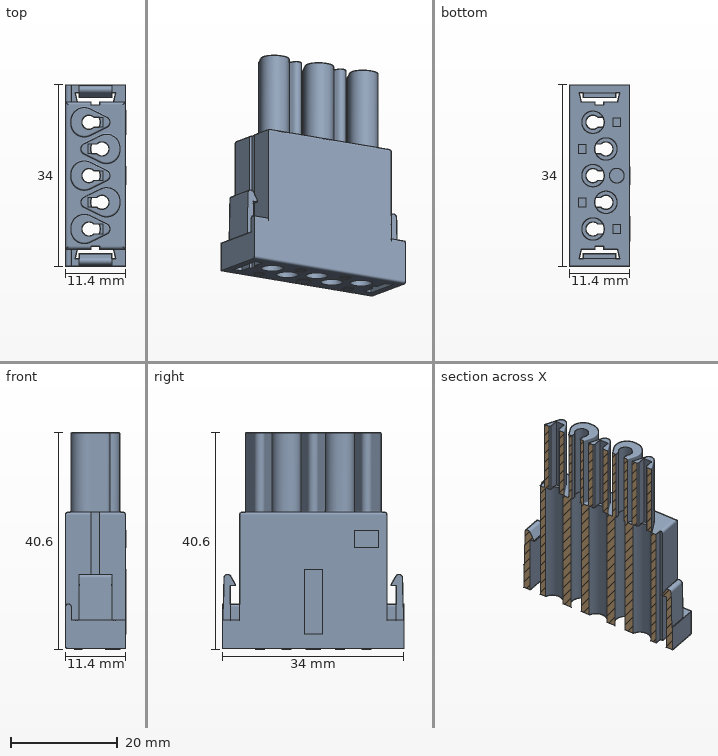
import cadquery as cq
import math

TOTAL_HEIGHT = 40.6
MARK_RELIEF = 0.2
WIDTH = 11.3
BASE_LENGTH = 34.0
BODY_LENGTH = 27.6
TOP_Z = TOTAL_HEIGHT - MARK_RELIEF
BODY_TOP_Z = 25.55
LEDGE_Z = 5.3
BODY_ROUND = 0.55
BASE_ROUND = 0.45

RAIL_WIDTH = 1.15
RAIL_TOP_Z = 8.32

LATCH_WIDTH = 6.15
LATCH_INNER_Y = 15.5
LATCH_ROOT_Y = 16.9
LATCH_TIP_RADIUS = 0.7
LATCH_TIP_Y = 16.05
LATCH_TIP_Z = 13.2
HOOK_REACH_Y = 14.58
HOOK_UNDERSIDE_Z = 11.77
HOOK_LIP = 0.25
OPENING_OUTER_WIDTH = 7.55
OPENING_INNER_WIDTH = 6.75
GROOVE_WIDTH = 1.6
GROOVE_DEPTH = 0.55

SOCKET_COUNT = 5
PITCH = 5.0
LOBE_X = -2.07
LOBE_RADIUS = 2.5
LOBE_FLAT = 0.45
TIP_RADIUS = 1.05
TIP_X = 1.65
SOCKET_TOP_ROUND = 0.25
SOCKET_FOOT_ROUND = 0.25
FIRST_SOCKET_WITH_FOOT = 2

KEYHOLE_X = -1.2
KEYHOLE_DIAMETER = 2.6
KEYWAY_WIDTH = 1.8
KEYWAY_END_X = 1.4
BORE_DIAMETER = 4.2

MARK_X = 3.25
MARK_WIDTH = 1.42
MARK_LENGTH = 1.65
MIDDLE_MARK_DIAMETER = 2.75
SIDE_MARK_RELIEF = 0.12
UPPER_SIDE_MARK = (7.67, 12.22, 18.88, 22.1)
LOWER_SIDE_MARK = (-1.62, 1.7, 2.7, 14.8)


def block(x_range, y_range, z_range):
    sizes = [high - low for low, high in (x_range, y_range, z_range)]
    corner = (x_range[0], y_range[0], z_range[0])
    return cq.Workplane("XY").box(*sizes, centered=False).translate(corner)


def mirrored_pair(end_feature):
    """The +Y feature together with its mirror image at -Y."""
    return end_feature.union(end_feature.mirror("XZ"))


def make_base():
    base = cq.Workplane("XY").box(WIDTH, BASE_LENGTH, LEDGE_Z, centered=(True, True, False))
    rail_round = RAIL_WIDTH / 2
    rail_center_z = RAIL_TOP_Z - rail_round
    rail = (
        cq.Workplane("XZ")
        .moveTo(-WIDTH / 2, 0)
        .lineTo(-WIDTH / 2, rail_center_z)
        .threePointArc(
            (-WIDTH / 2 + rail_round, RAIL_TOP_Z),
            (-WIDTH / 2 + RAIL_WIDTH, rail_center_z),
        )
        .lineTo(-WIDTH / 2 + RAIL_WIDTH, 0)
        .close()
        .extrude(BASE_LENGTH / 2, both=True)
    )
    return base.union(rail).edges("|Y and <X and <Z").fillet(BASE_ROUND)


def make_body():
    body = block(
        (-WIDTH / 2, WIDTH / 2),
        (-BODY_LENGTH / 2, BODY_LENGTH / 2),
        (BASE_ROUND, BODY_TOP_Z),
    )
    return body.faces(">Z").edges().fillet(BODY_ROUND)


def make_opening():
    """Through-opening between the body and the latch, joined to the groove in the body end."""
    wall_y = BODY_LENGTH / 2
    opening = (
        cq.Workplane("XY")
        .moveTo(-OPENING_INNER_WIDTH / 2, wall_y)
        .lineTo(-OPENING_OUTER_WIDTH / 2, LATCH_INNER_Y)
        .lineTo(OPENING_OUTER_WIDTH / 2, LATCH_INNER_Y)
        .lineTo(OPENING_INNER_WIDTH / 2, wall_y)
        .close()
        .extrude(LEDGE_Z)
    )
    groove = block(
        (-GROOVE_WIDTH / 2, GROOVE_WIDTH / 2),
        (wall_y - GROOVE_DEPTH, wall_y),
        (0, BODY_TOP_Z),
    )
    return opening.union(groove)


def make_latch():
    """Upright arm with a round top and a hook pointing toward the body."""
    hook_tip = (HOOK_REACH_Y, HOOK_UNDERSIDE_Z + HOOK_LIP)
    to_tip_y = hook_tip[0] - LATCH_TIP_Y
    to_tip_z = hook_tip[1] - LATCH_TIP_Z
    tip_distance = math.hypot(to_tip_y, to_tip_z)
    tangent_angle = math.atan2(to_tip_z, to_tip_y) - math.acos(LATCH_TIP_RADIUS / tip_distance)
    tangent_point = (
        LATCH_TIP_Y + LATCH_TIP_RADIUS * math.cos(tangent_angle),
        LATCH_TIP_Z + LATCH_TIP_RADIUS * math.sin(tangent_angle),
    )
    return (
        cq.Workplane("YZ")
        .moveTo(LATCH_INNER_Y, 0)
        .lineTo(LATCH_ROOT_Y, 0)
        .lineTo(LATCH_ROOT_Y, LEDGE_Z)
        .lineTo(LATCH_TIP_Y + LATCH_TIP_RADIUS, LATCH_TIP_Z)
        .threePointArc((LATCH_TIP_Y, LATCH_TIP_Z + LATCH_TIP_RADIUS), tangent_point)
        .lineTo(*hook_tip)
        .lineTo(HOOK_REACH_Y, HOOK_UNDERSIDE_Z)
        .lineTo(LATCH_INNER_Y, HOOK_UNDERSIDE_Z)
        .close()
        .extrude(LATCH_WIDTH / 2, both=True)
    )


def make_socket():
    """Socket pointing its narrow end to +X, standing on the body at Y = 0."""
    flat = LOBE_FLAT / 2
    centre_distance = math.hypot(TIP_X - LOBE_X, flat)
    flank_angle = math.acos((LOBE_RADIUS - TIP_RADIUS) / centre_distance)
    flank_angle -= math.atan2(flat, TIP_X - LOBE_X)
    flank_x, flank_y = math.cos(flank_angle), math.sin(flank_angle)
    lobe_end = (LOBE_X + LOBE_RADIUS * flank_x, flat + LOBE_RADIUS * flank_y)
    tip_start = (TIP_X + TIP_RADIUS * flank_x, TIP_RADIUS * flank_y)
    lobe_left = LOBE_X - LOBE_RADIUS
    mid_angle = (flank_angle + math.pi) / 2
    lobe_mid = (
        LOBE_X + LOBE_RADIUS * math.cos(mid_angle),
        flat + LOBE_RADIUS * math.sin(mid_angle),
    )
    outline = (
        cq.Workplane("XY", origin=(0, 0, BODY_TOP_Z))
        .moveTo(lobe_left, -flat)
        .lineTo(lobe_left, flat)
        .threePointArc(lobe_mid, lobe_end)
        .lineTo(*tip_start)
        .threePointArc((TIP_X + TIP_RADIUS, 0), (tip_start[0], -tip_start[1]))
        .lineTo(lobe_end[0], -lobe_end[1])
        .threePointArc((lobe_mid[0], -lobe_mid[1]), (lobe_left, -flat))
        .close()
    )
    socket = outline.extrude(TOP_Z - BODY_TOP_Z)
    return socket.faces(">Z").edges().fillet(SOCKET_TOP_ROUND)


def make_contact_cavity():
    """Keyhole through the socket, opening into a round bore through the body."""
    bore = cq.Workplane("XY").center(KEYHOLE_X, 0).circle(BORE_DIAMETER / 2).extrude(BODY_TOP_Z)
    hole = cq.Workplane("XY").center(KEYHOLE_X, 0).circle(KEYHOLE_DIAMETER / 2).extrude(TOP_Z)
    keyway = block(
        (KEYHOLE_X, KEYWAY_END_X),
        (-KEYWAY_WIDTH / 2, KEYWAY_WIDTH / 2),
        (BODY_TOP_Z, TOP_Z),
    )
    return bore.union(hole).union(keyway)


def at_contact(shape, index):
    """Move a shape to its contact position, turning every second one around."""
    turned = shape.rotate((0, 0, 0), (0, 0, 1), 180 * (index % 2))
    return turned.translate((0, contact_y(index), 0))


def contact_y(index):
    return (index - (SOCKET_COUNT - 1) / 2) * PITCH


def round_foot(part, index):
    """Fillet the joint between one socket and the body top."""
    reach = LOBE_RADIUS + LOBE_FLAT / 2
    margin = 0.05
    y = contact_y(index)
    around_foot = cq.selectors.BoxSelector(
        (-WIDTH / 2 + BODY_ROUND + margin, y - reach, BODY_TOP_Z - margin),
        (WIDTH / 2 - BODY_ROUND - margin, y + reach, BODY_TOP_Z + margin),
        boundingbox=True,
    )
    return part.edges(around_foot).fillet(SOCKET_FOOT_ROUND)


def make_bottom_mark(index):
    middle = (SOCKET_COUNT - 1) / 2
    mark = cq.Workplane("XY").center(MARK_X, 0)
    if index == middle:
        mark = mark.circle(MIDDLE_MARK_DIAMETER / 2)
    else:
        mark = mark.rect(MARK_WIDTH, MARK_LENGTH)
    return mark.extrude(-MARK_RELIEF)


def make_side_mark(y_low, y_high, z_low, z_high):
    side_x = WIDTH / 2
    return block((side_x, side_x + SIDE_MARK_RELIEF), (y_low, y_high), (z_low, z_high))


part = make_base().union(make_body())
part = part.cut(mirrored_pair(make_opening()))
part = part.union(mirrored_pair(make_latch()))

for index in range(SOCKET_COUNT):
    part = part.union(at_contact(make_socket(), index))
for index in range(FIRST_SOCKET_WITH_FOOT, SOCKET_COUNT):
    part = round_foot(part, index)
for index in range(SOCKET_COUNT):
    part = part.cut(at_contact(make_contact_cavity(), index))
    part = part.union(at_contact(make_bottom_mark(index), index))
for extents in (UPPER_SIDE_MARK, LOWER_SIDE_MARK):
    part = part.union(make_side_mark(*extents))

result = part